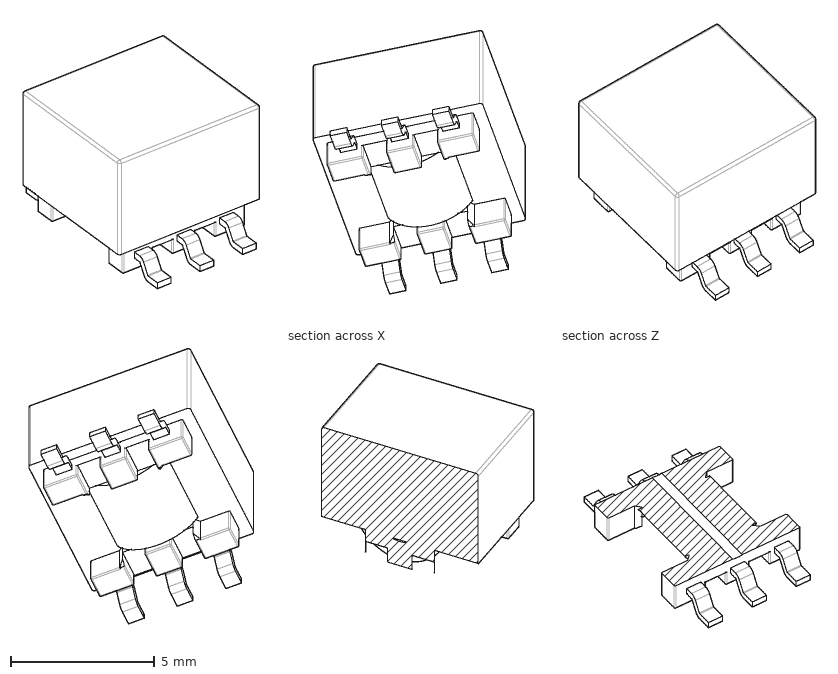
import cadquery as cq
import math

BODY_LENGTH = 5.7
BODY_WIDTH = 6.15
BODY_TOP = 5.1
BODY_BOTTOM = 1.22
BODY_FILLET = 0.1

FLANGE_OUTER_X = 2.5
FLANGE_INNER_X = 1.455
FLANGE_TIP_INNER_X = 1.65
FLANGE_WIDTH = 5.3
FLANGE_BOTTOM = 0.1
FLANGE_TOP = 4.0
FLANGE_FILLET = 0.05

NOTCH_TOP = 0.71
CORNER_FOOT_INNER_Y = 1.34
CORNER_FOOT_CHAMFER = 0.19
MIDDLE_FOOT_HALF_WIDTH = 0.5
NOTCH_WIDTH = CORNER_FOOT_INNER_Y - MIDDLE_FOOT_HALF_WIDTH
NOTCH_Y = (CORNER_FOOT_INNER_Y + MIDDLE_FOOT_HALF_WIDTH) / 2

TAPER_END_Y = CORNER_FOOT_INNER_Y + FLANGE_TIP_INNER_X - FLANGE_INNER_X

WINDING_AXIS_Z = 2.165
WINDING_DIAMETER = 3.6
BORE_AXIS_Z = 2.1
BORE_DIAMETER = 1.85

PIN_SPAN = 7.7
PIN_WIDTH = 0.6
PIN_PITCH = 1.85
PINS_PER_SIDE = 3
PIN_THICKNESS = 0.25
PIN_SHOULDER_TOP = 0.825
PIN_HEEL_X = 3.31
PIN_BEND_RADIUS = 0.03
PIN_SLOPE = math.radians(60)
PIN_ROOT_DEPTH = 0.2
PIN_ROOT_X = FLANGE_OUTER_X - PIN_ROOT_DEPTH


def make_body():
    """Block with rounded upright and top edges."""
    body = cq.Workplane("XY", origin=(0, 0, BODY_BOTTOM)).rect(BODY_LENGTH, BODY_WIDTH)
    body = body.extrude(BODY_TOP - BODY_BOTTOM)
    return body.edges("|Z or >Z").fillet(BODY_FILLET)


def make_foot_chamfer(start_y):
    """Wedge along Y that bevels the inner bottom edge of one corner foot."""
    return (
        cq.Workplane("XZ", origin=(FLANGE_INNER_X, start_y, FLANGE_BOTTOM))
        .lineTo(CORNER_FOOT_CHAMFER, 0)
        .lineTo(0, CORNER_FOOT_CHAMFER)
        .close()
        .extrude(-(FLANGE_WIDTH / 2 - NOTCH_Y))
    )


def make_flange():
    """Flange on the +X side, with tapered tips and three rounded feet."""
    half_width = FLANGE_WIDTH / 2
    flange = (
        cq.Workplane("XY", origin=(0, 0, FLANGE_BOTTOM))
        .moveTo(FLANGE_OUTER_X, -half_width)
        .lineTo(FLANGE_OUTER_X, half_width)
        .lineTo(FLANGE_TIP_INNER_X, half_width)
        .lineTo(FLANGE_TIP_INNER_X, TAPER_END_Y)
        .lineTo(FLANGE_INNER_X, CORNER_FOOT_INNER_Y)
        .lineTo(FLANGE_INNER_X, -CORNER_FOOT_INNER_Y)
        .lineTo(FLANGE_TIP_INNER_X, -TAPER_END_Y)
        .lineTo(FLANGE_TIP_INNER_X, -half_width)
        .close()
        .extrude(FLANGE_TOP - FLANGE_BOTTOM)
    )
    notches = (
        cq.Workplane("XY", origin=(FLANGE_OUTER_X, 0, 0))
        .pushPoints([(0, -NOTCH_Y), (0, NOTCH_Y)])
        .rect(FLANGE_OUTER_X, NOTCH_WIDTH)
        .extrude(NOTCH_TOP)
    )
    flange = flange.cut(notches)
    flange = flange.edges("|Z").edges(">X or >Y or <Y").fillet(FLANGE_FILLET)
    middle_foot_edges = cq.selectors.BoxSelector(
        (0, -NOTCH_Y, 0), (FLANGE_TIP_INNER_X, NOTCH_Y, NOTCH_TOP)
    )
    flange = flange.edges("|Z").edges(middle_foot_edges).fillet(FLANGE_FILLET)
    flange = flange.faces("<Z").edges().fillet(FLANGE_FILLET)
    return flange.cut(make_foot_chamfer(NOTCH_Y)).cut(make_foot_chamfer(-half_width))


def make_cylinder_along_x(diameter, axis_z, half_length):
    start = cq.Workplane("YZ", origin=(-half_length, 0, axis_z))
    return start.circle(diameter / 2).extrude(2 * half_length)


def make_bobbin():
    """Two mirrored flanges joined by the winding, with the bore right through."""
    flange = make_flange()
    bobbin = flange.union(flange.mirror("YZ"))
    bobbin = bobbin.union(make_cylinder_along_x(WINDING_DIAMETER, WINDING_AXIS_Z, FLANGE_INNER_X))
    return bobbin.cut(make_cylinder_along_x(BORE_DIAMETER, BORE_AXIS_Z, FLANGE_OUTER_X))


def bend_arc_points(center, radius, side):
    """Start, middle and end of a bend, from the flat (vertical radius) to the slope.

    side is 1 for the arc above its centre and -1 for the arc below it.
    """
    angles = (0, PIN_SLOPE / 2, PIN_SLOPE)
    center_x, center_z = center
    return [
        (center_x + side * radius * math.sin(angle), center_z + side * radius * math.cos(angle))
        for angle in angles
    ]


def make_pin(y):
    """Gull-wing pin on the +X side: foot, slope and shoulder joined by concentric bends."""
    toe_x = PIN_SPAN / 2
    outer_radius = PIN_BEND_RADIUS + PIN_THICKNESS
    rise = PIN_SHOULDER_TOP - 2 * outer_radius
    run = (PIN_BEND_RADIUS + outer_radius + rise * math.cos(PIN_SLOPE)) / math.sin(PIN_SLOPE)
    heel_center = (PIN_HEEL_X, outer_radius)
    knee_center = (PIN_HEEL_X - run, PIN_SHOULDER_TOP - outer_radius)

    heel_inner = bend_arc_points(heel_center, PIN_BEND_RADIUS, -1)
    heel_outer = bend_arc_points(heel_center, outer_radius, -1)
    knee_inner = bend_arc_points(knee_center, PIN_BEND_RADIUS, 1)
    knee_outer = bend_arc_points(knee_center, outer_radius, 1)
    profile = (
        cq.Workplane("XZ", origin=(0, y + PIN_WIDTH / 2, 0))
        .moveTo(toe_x, 0)
        .lineTo(toe_x, PIN_THICKNESS)
        .lineTo(*heel_inner[0])
        .threePointArc(heel_inner[1], heel_inner[2])
        .lineTo(*knee_outer[2])
        .threePointArc(knee_outer[1], knee_outer[0])
        .lineTo(PIN_ROOT_X, PIN_SHOULDER_TOP)
        .lineTo(PIN_ROOT_X, PIN_SHOULDER_TOP - PIN_THICKNESS)
        .lineTo(*knee_inner[0])
        .threePointArc(knee_inner[1], knee_inner[2])
        .lineTo(*heel_outer[2])
        .threePointArc(heel_outer[1], heel_outer[0])
        .close()
    )
    return profile.extrude(PIN_WIDTH)


def make_pins():
    """Equal rows of pins along both sides, centred on Y."""
    first_y = -PIN_PITCH * (PINS_PER_SIDE - 1) / 2
    pins = cq.Workplane("XY")
    for index in range(PINS_PER_SIDE):
        pin = make_pin(first_y + index * PIN_PITCH)
        pins = pins.add(pin).add(pin.mirror("YZ"))
    return pins.combine()


result = make_bobbin().union(make_body()).union(make_pins())